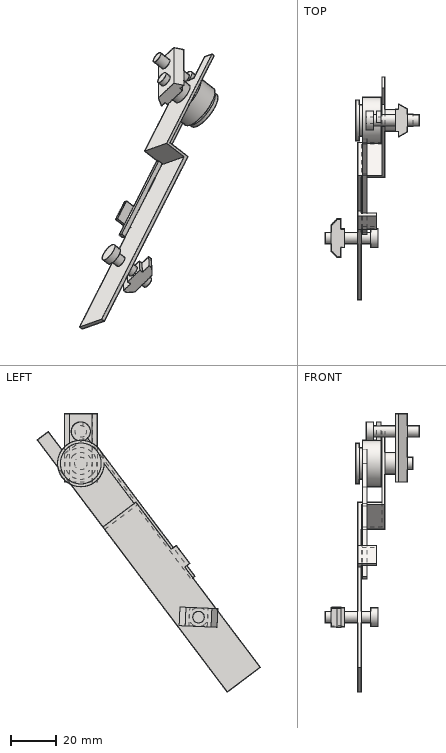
import cadquery as cq

LEAN_ANGLE = 37.0

SHEET = 1.65
BACK_SHEET = 1.3
BRACKET_WIDTH = 18.2
BRACKET_DEPTH = 12.0
BRIDGE_START = 28.2
BRACKET_END = 119.2
PLATE_TOP = -7.8
FINGER_TOP = -19.85
FINGER_WIDTH = 6.1

TAB_START = 54.1
TAB_LENGTH = 9.9
TAB_REACH = 8.4
TAB_OUTER = 11.85

COIL_RADIUS = 10.25
COIL_START = 2.1
COIL_END = 10.4
WIRE = 2.1
LEG_END = 69.9
HOOK_RADIUS = 4.25
HOOK_END_Y = -0.85

CAP_RADIUS = 9.0
CAP_START = -0.85
CAP_THICKNESS = 1.65
NECK_RADIUS = 7.0
SHAFT_RADIUS = 4.85
STUB_RADIUS = 2.75
STUB_END = 24.4

BOLT_RADIUS = 2.55
BOLT_HEAD_RADIUS = 4.2
BOLT_HEAD_HEIGHT = 3.3
UPPER_BOLT_Z = 14.1
UPPER_BOLT_HEAD_X = 3.75
UPPER_BOLT_TIP_X = 27.25
LOWER_BOLT_Y = -51.8
LOWER_BOLT_Z = -67.65
LOWER_BOLT_TIP_X = -14.32
LOWER_BOLT_HEAD_X = 9.05

UPPER_NUT_LIP_X = 16.6
UPPER_NUT_SHOULDER_X = 18.0
UPPER_NUT_BACK_X = 21.9
UPPER_NUT_LIP_WIDTH = 9.9
UPPER_NUT_WIDTH = 14.6
UPPER_NUT_BACK_WIDTH = 10.2
UPPER_NUT_TOP = 22.0
UPPER_NUT_LENGTH = 30.2

LOWER_NUT_LIP_X = -5.75
LOWER_NUT_SHOULDER_X = -7.35
LOWER_NUT_CHAMFER_X = -9.0
LOWER_NUT_BACK_X = -11.6
LOWER_NUT_LIP_WIDTH = 8.0
LOWER_NUT_WIDTH = 16.7
LOWER_NUT_BACK_WIDTH = 11.4
LOWER_NUT_HEIGHT = 8.2
LOWER_NUT_TILT = 2.5


def rod(x_start, x_end, radius, y=0.0, z=0.0):
    """Round bar parallel to X."""
    return cq.Workplane("YZ", origin=(x_start, y, z)).circle(radius).extrude(x_end - x_start)


def leaning_block(x_range, along_range, across_range):
    """Rectangular block set in the leaning frame of the bracket."""
    x0, x1 = x_range
    a0, a1 = along_range
    c0, c1 = across_range
    block = cq.Workplane("XY").box(x1 - x0, c1 - c0, a1 - a0, centered=False)
    block = block.translate((x0, -c1, -a1))
    return block.rotate((0, 0, 0), (1, 0, 0), -LEAN_ANGLE)


def slot_nut(half_outline, z_bottom, height, y=0.0):
    """Nut symmetric about its Y centre, from (x, half width) points."""
    near_side = [(x, y + half) for x, half in half_outline]
    far_side = [(x, y - half) for x, half in reversed(half_outline)]
    outline = cq.Workplane("XY", origin=(0, 0, z_bottom)).polyline(near_side + far_side)
    return outline.close().extrude(height)


def make_bracket():
    half = BRACKET_WIDTH / 2
    full_width = (-half, half)
    back_x = (BRACKET_DEPTH - BACK_SHEET, BRACKET_DEPTH)
    bridge_end = BRIDGE_START + BACK_SHEET
    back_plate = leaning_block(back_x, (PLATE_TOP, bridge_end), full_width)
    finger = leaning_block(back_x, (FINGER_TOP, PLATE_TOP), (-half, -half + FINGER_WIDTH))
    bridge = leaning_block((0, BRACKET_DEPTH), (BRIDGE_START, bridge_end), full_width)
    lower_plate = leaning_block((0, SHEET), (BRIDGE_START, BRACKET_END), full_width)
    return back_plate.union(finger).union(bridge).union(lower_plate)


def make_tab():
    tab_along = (TAB_START, TAB_START + TAB_LENGTH)
    web = leaning_block((0, SHEET), tab_along, (BRACKET_WIDTH / 2, TAB_OUTER))
    flange = leaning_block((0, TAB_REACH), tab_along, (TAB_OUTER - SHEET, TAB_OUTER))
    return web.union(flange)


def make_spring():
    coil = rod(COIL_START, COIL_END, COIL_RADIUS)
    leg_across = (COIL_RADIUS - WIRE, COIL_RADIUS)
    leg = leaning_block((COIL_START, COIL_START + WIRE), (0, LEG_END), leg_across)
    hook_start = COIL_END - WIRE
    hook = rod(hook_start, COIL_END, HOOK_RADIUS, z=UPPER_BOLT_Z)
    keep_width = HOOK_RADIUS - HOOK_END_Y
    keep = cq.Workplane("XY").box(WIRE, keep_width, 2 * HOOK_RADIUS, centered=(False, False, True))
    hook = hook.intersect(keep.translate((hook_start, HOOK_END_Y, UPPER_BOLT_Z)))
    return coil.union(leg).union(hook)


def make_pivot_pin():
    cap_end = CAP_START + CAP_THICKNESS
    cap = rod(CAP_START, cap_end, CAP_RADIUS)
    neck = rod(cap_end, COIL_START, NECK_RADIUS)
    shaft = rod(COIL_START, UPPER_NUT_LIP_X, SHAFT_RADIUS)
    stub = rod(UPPER_NUT_LIP_X, STUB_END, STUB_RADIUS)
    return cap.union(neck).union(shaft).union(stub)


def make_upper_bolt():
    head_end = UPPER_BOLT_HEAD_X + BOLT_HEAD_HEIGHT
    head = rod(UPPER_BOLT_HEAD_X, head_end, BOLT_HEAD_RADIUS, z=UPPER_BOLT_Z)
    shank = rod(head_end, UPPER_BOLT_TIP_X, BOLT_RADIUS, z=UPPER_BOLT_Z)
    return head.union(shank)


def make_lower_bolt():
    head_start = LOWER_BOLT_HEAD_X - BOLT_HEAD_HEIGHT
    head = rod(head_start, LOWER_BOLT_HEAD_X, BOLT_HEAD_RADIUS, LOWER_BOLT_Y, LOWER_BOLT_Z)
    shank = rod(LOWER_BOLT_TIP_X, head_start, BOLT_RADIUS, LOWER_BOLT_Y, LOWER_BOLT_Z)
    return head.union(shank)


def make_upper_nut():
    half_outline = [
        (UPPER_NUT_LIP_X, UPPER_NUT_LIP_WIDTH / 2),
        (UPPER_NUT_SHOULDER_X, UPPER_NUT_LIP_WIDTH / 2),
        (UPPER_NUT_SHOULDER_X, UPPER_NUT_WIDTH / 2),
        (UPPER_NUT_BACK_X, UPPER_NUT_BACK_WIDTH / 2),
    ]
    return slot_nut(half_outline, UPPER_NUT_TOP - UPPER_NUT_LENGTH, UPPER_NUT_LENGTH)


def make_lower_nut():
    half_outline = [
        (LOWER_NUT_LIP_X, LOWER_NUT_LIP_WIDTH / 2),
        (LOWER_NUT_SHOULDER_X, LOWER_NUT_LIP_WIDTH / 2),
        (LOWER_NUT_SHOULDER_X, LOWER_NUT_WIDTH / 2),
        (LOWER_NUT_CHAMFER_X, LOWER_NUT_WIDTH / 2),
        (LOWER_NUT_BACK_X, LOWER_NUT_BACK_WIDTH / 2),
    ]
    z_bottom = LOWER_BOLT_Z - LOWER_NUT_HEIGHT / 2
    nut = slot_nut(half_outline, z_bottom, LOWER_NUT_HEIGHT, LOWER_BOLT_Y)
    axis_start = (0, LOWER_BOLT_Y, LOWER_BOLT_Z)
    axis_end = (1, LOWER_BOLT_Y, LOWER_BOLT_Z)
    return nut.rotate(axis_start, axis_end, LOWER_NUT_TILT)


result = make_bracket()
for component in (
    make_tab(),
    make_spring(),
    make_pivot_pin(),
    make_upper_bolt(),
    make_lower_bolt(),
    make_upper_nut(),
    make_lower_nut(),
):
    result = result.union(component)